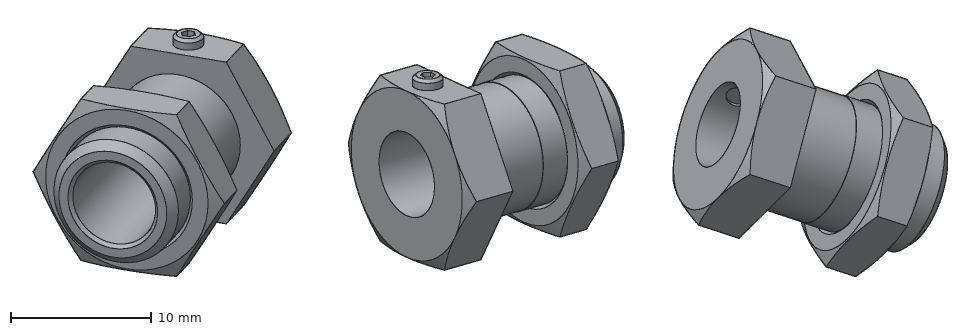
import cadquery as cq
import math

overall_length = 16.51
overall_height = 13.49

hex_corners = 14.66
hex_flats = hex_corners * math.sqrt(3) / 2

thread_diameter = 9.55
thread_length = 7.88
thread_chamfer = 0.65
plain_diameter = 9.48
bore_diameter = 6.34
bore_chamfer = 0.26

head_length = 3.83
head_front_y = overall_length - head_length
head_corner_drop = 0.51

nut_front_y = 2.7
nut_length = 3.17
nut_face_diameter = 12.45
nut_corner_drop = 0.38
nut_bore_chamfer = 0.25

screw_diameter = 2.2
screw_chamfer = 0.23
screw_top_z = overall_height - hex_flats / 2
screw_tip_z = bore_diameter / 2
screw_y = overall_length - head_length / 2
socket_corners = 1.05
socket_depth = 0.66


def y_cylinder(diameter, start_y, length):
    """Cylinder on the Y axis, running toward +Y from start_y."""
    plane = cq.Plane(origin=(0, start_y, 0), xDir=(1, 0, 0), normal=(0, 1, 0))
    return cq.Workplane(plane).circle(diameter / 2).extrude(length)


def y_hexagon(start_y, length):
    """Hexagonal prism on the Y axis, running toward +Y from start_y."""
    plane = cq.Plane(origin=(0, start_y, 0), xDir=(1, 0, 0), normal=(0, 1, 0))
    return cq.Workplane(plane).polygon(6, hex_corners).extrude(length)


def turned_blank(front_y, length, front_diameter, front_drop, rear_diameter, rear_drop):
    """Disc as wide as the hexagon corners, with a cone leading to each end face."""
    rear_y = front_y + length
    corner_radius = hex_corners / 2
    profile = [
        (0, front_y),
        (front_diameter / 2, front_y),
        (corner_radius, front_y + front_drop),
        (corner_radius, rear_y - rear_drop),
        (rear_diameter / 2, rear_y),
        (0, rear_y),
    ]
    outline = [point for i, point in enumerate(profile) if i == 0 or point != profile[i - 1]]
    return cq.Workplane("XY").polyline(outline).close().revolve(360, (0, 0, 0), (0, 1, 0))


def make_bushing():
    head_blank = turned_blank(head_front_y, head_length, hex_corners, 0, hex_flats, head_corner_drop)
    head = y_hexagon(head_front_y, head_length).intersect(head_blank)
    thread = y_cylinder(thread_diameter, 0, thread_length).faces("<Y").chamfer(thread_chamfer)
    plain_barrel = y_cylinder(plain_diameter, thread_length, head_front_y - thread_length)
    body = head.union(plain_barrel).union(thread)

    bore = y_cylinder(bore_diameter, 0, overall_length)
    body = body.cut(bore)
    bore_mouth = cq.Solid.makeCone(
        bore_diameter / 2 + bore_chamfer,
        bore_diameter / 2,
        bore_chamfer,
        pnt=cq.Vector(0, 0, 0),
        dir=cq.Vector(0, 1, 0),
    )
    body = body.cut(cq.Workplane(bore_mouth))

    screw_hole = cq.Workplane("XY").center(0, screw_y).circle(screw_diameter / 2).extrude(hex_flats / 2)
    return body.cut(screw_hole)


def make_nut():
    blank = turned_blank(
        nut_front_y, nut_length, nut_face_diameter, nut_corner_drop, nut_face_diameter, nut_corner_drop
    )
    nut = y_hexagon(nut_front_y, nut_length).intersect(blank)
    nut = nut.cut(y_cylinder(thread_diameter, nut_front_y, nut_length))
    bore_edges = cq.selectors.RadiusNthSelector(0)
    return nut.faces("<Y or >Y").edges(bore_edges).chamfer(nut_bore_chamfer)


def make_set_screw():
    screw = (
        cq.Workplane("XY", origin=(0, screw_y, screw_tip_z))
        .circle(screw_diameter / 2)
        .extrude(screw_top_z - screw_tip_z)
        .faces(">Z")
        .chamfer(screw_chamfer)
    )
    socket = (
        cq.Workplane("XY", origin=(0, screw_y, screw_top_z - socket_depth))
        .polygon(6, socket_corners)
        .extrude(socket_depth)
    )
    return screw.cut(socket)


bushing = make_bushing()
nut = make_nut()
set_screw = make_set_screw()

result = cq.Compound.makeCompound([bushing.val(), nut.val(), set_screw.val()])